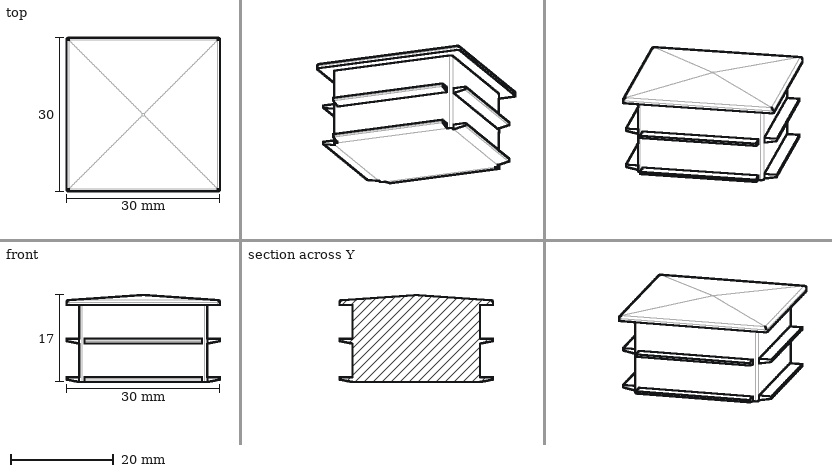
import cadquery as cq
import math

cap_side = 30.0
total_height = 17.0
edge_radius = 0.5

body_side = 25.0
body_height = 15.0
cap_thickness = 1.0
crown_flat_side = 0.48

fin_length = 23.0
fin_tip_thickness = 0.5
fin_root_thickness = 1.0
fin_tip_radius = 0.25
fin_top_heights = (fin_root_thickness, 8.5)

cap_top = body_height + cap_thickness
fin_embed = 0.3
rim_margin = 0.03


def make_body():
    return (
        cq.Workplane("XY")
        .rect(body_side, body_side)
        .extrude(body_height)
        .edges("|Z")
        .fillet(edge_radius)
    )


def make_cap():
    """Square plate rising to a shallow pyramid, with rounded corners and rim."""
    plate = (
        cq.Workplane("XY", origin=(0, 0, body_height))
        .rect(cap_side, cap_side)
        .extrude(cap_thickness)
    )
    crown_rise = total_height - cap_top
    crown_run = (cap_side - crown_flat_side) / 2
    crown_taper = math.degrees(math.atan2(crown_run, crown_rise))
    crown = (
        cq.Workplane("XY", origin=(0, 0, cap_top))
        .rect(cap_side, cap_side)
        .extrude(crown_rise, taper=crown_taper)
    )
    cap = plate.union(crown).edges("|Z").fillet(edge_radius)
    rim_band = cq.selectors.BoxSelector(
        (-cap_side, -cap_side, cap_top - rim_margin),
        (cap_side, cap_side, cap_top + rim_margin),
    )
    return cap.edges(rim_band).fillet(edge_radius)


def make_fin(top):
    """Fin on the +X side: flat on top, tapering underneath to its tip."""
    face = body_side / 2
    tip = cap_side / 2
    inner = face - fin_embed
    profile = [
        (inner, top),
        (tip, top),
        (tip, top - fin_tip_thickness),
        (face, top - fin_root_thickness),
        (inner, top - fin_root_thickness),
    ]
    fin = cq.Workplane("XZ").polyline(profile).close().extrude(fin_length / 2, both=True)
    return fin.faces(">X").edges("<Z").fillet(fin_tip_radius)


result = make_body().union(make_cap())
for fin_top in fin_top_heights:
    for angle in (0, 90, 180, 270):
        result = result.union(make_fin(fin_top).rotate((0, 0, 0), (0, 0, 1), angle))